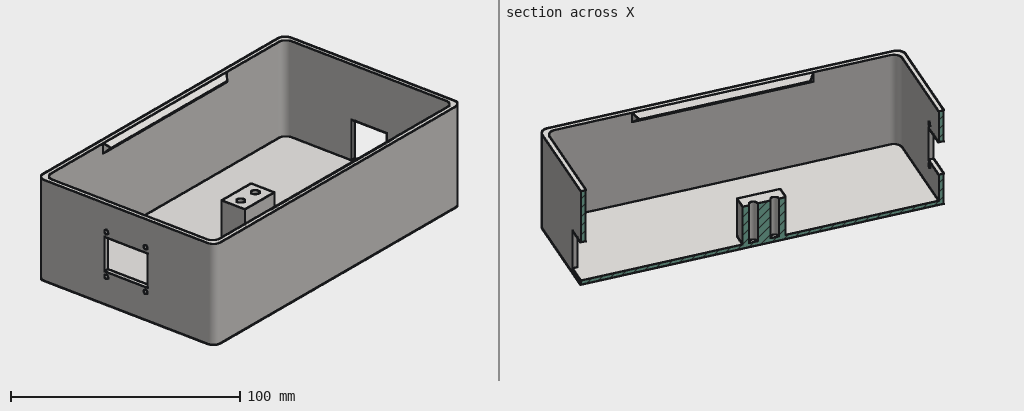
import cadquery as cq

width = 100.0
length = 170
height = 50.0
wall = height / 20
floor = wall
corner_radius = 0.04 * width

ridge_length = 85
ridge_depth = wall

window_width = 24.3
window_height = 17
window_bottom = 16.3
screw_spacing = 22.1
screw_diameter = 2.0

port_width = 19.9
port_height = 20.0

block_width = 13.1
block_length = 20.2
block_height = 20.0
block_center_y = -0.8
pin_spacing = 10.0
pin_diameter = 3.9


def rounded_block(size_x, size_y, size_z):
    """Upright block centred on Z, with rounded vertical edges."""
    block = cq.Workplane("XY").box(size_x, size_y, size_z, centered=(True, True, False))
    return block.edges("|Z").fillet(corner_radius)


def make_shell():
    cavity = rounded_block(width - 2 * wall, length - 2 * wall, height - floor)
    return rounded_block(width, length, height).cut(cavity.translate((0, 0, floor)))


def make_ridge():
    """Ridge on the +X wall: its two slopes and both ends taper at 45 degrees."""
    base_x = width / 2 - wall
    center_z = height - ridge_depth
    wedge_profile = [
        (base_x, center_z + ridge_depth),
        (base_x - ridge_depth, center_z),
        (base_x, center_z - ridge_depth),
    ]
    wedge = cq.Workplane("XZ").polyline(wedge_profile).close().extrude(ridge_length / 2, both=True)
    plan = [
        (base_x, -ridge_length / 2),
        (base_x, ridge_length / 2),
        (base_x - ridge_depth, ridge_length / 2 - ridge_depth),
        (base_x - ridge_depth, -ridge_length / 2 + ridge_depth),
    ]
    return wedge.intersect(cq.Workplane("XY").polyline(plan).close().extrude(height))


def wall_cutter(size_x, size_z, bottom_z, wall_center_y):
    """Rectangular cutter that passes through one end wall."""
    cutter = cq.Workplane("XY").box(size_x, 2 * wall, size_z, centered=(True, True, False))
    return cutter.translate((0, wall_center_y, bottom_z))


def make_screw_holes():
    """Four holes in a square around the middle of the -Y wall."""
    return (
        cq.Workplane("XZ", origin=(0, -length / 2 + wall, height / 2))
        .rarray(screw_spacing, screw_spacing, 2, 2)
        .circle(screw_diameter / 2)
        .extrude(wall)
    )


def make_mounting_block():
    block = cq.Workplane("XY").box(block_width, block_length, block_height, centered=(True, True, False))
    block = block.faces(">Z").workplane().rarray(1.7, pin_spacing, 1, 2).hole(pin_diameter, block_height)
    return block.translate((0, block_center_y, floor))


end_wall_y = (length - wall) / 2
ridge = make_ridge()

result = make_shell()
result = result.cut(wall_cutter(window_width, window_height, window_bottom, -end_wall_y))
result = result.cut(make_screw_holes())
result = result.cut(wall_cutter(port_width, port_height, floor, end_wall_y))
result = result.union(ridge).union(ridge.mirror("YZ"))
result = result.union(make_mounting_block())